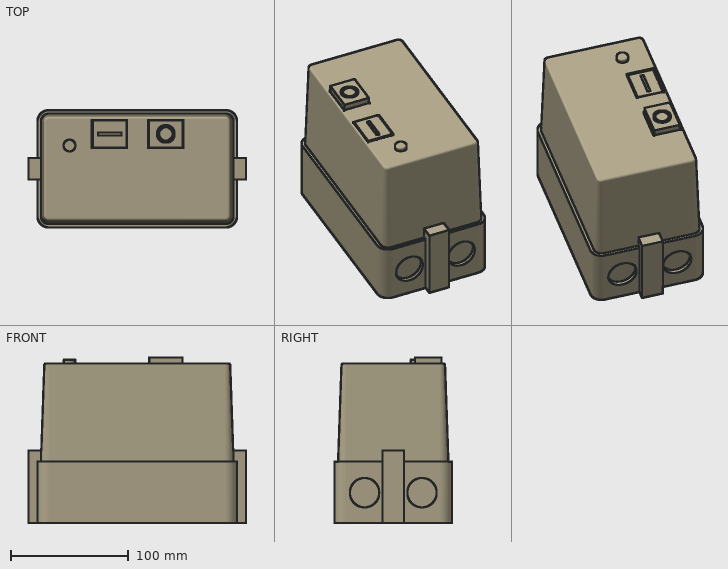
import cadquery as cq
import math

BASE_LENGTH = 170.0
BASE_WIDTH = 100.0
BASE_HEIGHT = 52.5
CORNER_RADIUS = 10.0

COVER_STEP = 3.0
COVER_TOP = 136.0
COVER_DRAFT = 2.0
COVER_EDGE_RADIUS = 2.0

OVERALL_LENGTH = 185.0
CLIP_WIDTH = 18.5
CLIP_HEIGHT = 62.0

KNOCKOUT_DIAMETER = 25.0
KNOCKOUT_SPACING = 48.8
KNOCKOUT_HEIGHT = 26.0
KNOCKOUT_DEPTH = 4.0

WINDOW_LENGTH = 30.0
WINDOW_WIDTH = 24.0
WINDOW_DEPTH = 2.0
WINDOW_Y = 29.7
STOP_WINDOW_X = 24.3
START_WINDOW_X = -23.8
BUTTON_LENGTH = 28.6
BUTTON_WIDTH = 22.8
START_BUTTON_SHIFT = 0.5
STOP_BUTTON_TOP = 141.0

SYMBOL_DEPTH = 0.2
BAR_LENGTH = 20.0
BAR_WIDTH = 2.5
RING_OUTER_DIAMETER = 15.0
RING_INNER_DIAMETER = 11.5

LAMP_X = -57.6
LAMP_Y = 19.8
LAMP_DIAMETER = 10.0
LAMP_HEIGHT = 3.2
LAMP_EDGE_RADIUS = 1.0


def box_on(z, length, width, height, x=0.0, y=0.0):
    """Box centred on (x, y) with its bottom at height z."""
    return cq.Workplane("XY", origin=(x, y, z)).rect(length, width).extrude(height)


def make_base():
    base = box_on(0, BASE_LENGTH, BASE_WIDTH, BASE_HEIGHT)
    return base.edges("|Z").fillet(CORNER_RADIUS)


def make_cover():
    """Cover with drafted walls, conical corners and a rounded top edge."""
    outline = cq.Sketch().rect(BASE_LENGTH - 2 * COVER_STEP, BASE_WIDTH - 2 * COVER_STEP)
    outline = outline.vertices().fillet(CORNER_RADIUS - COVER_STEP)
    cover = (
        cq.Workplane("XY", origin=(0, 0, BASE_HEIGHT))
        .placeSketch(outline)
        .extrude(COVER_TOP - BASE_HEIGHT, taper=COVER_DRAFT)
    )
    return cover.faces(">Z").edges().fillet(COVER_EDGE_RADIUS)


def make_clip(side):
    """Clip on one end, reaching inward to the drafted cover wall."""
    wall_lean = (CLIP_HEIGHT - BASE_HEIGHT) * math.tan(math.radians(COVER_DRAFT))
    inner_x = BASE_LENGTH / 2 - COVER_STEP - wall_lean
    outer_x = OVERALL_LENGTH / 2
    middle_x = side * (inner_x + outer_x) / 2
    return box_on(0, outer_x - inner_x, CLIP_WIDTH, CLIP_HEIGHT, x=middle_x)


def make_knockouts(side):
    """Two shallow round recesses in one end wall, as cutters."""
    start_x = side * (BASE_LENGTH / 2 - KNOCKOUT_DEPTH)
    return (
        cq.Workplane("YZ", origin=(start_x, 0, KNOCKOUT_HEIGHT))
        .rarray(KNOCKOUT_SPACING, 1, 2, 1)
        .circle(KNOCKOUT_DIAMETER / 2)
        .extrude(side * KNOCKOUT_DEPTH)
    )


def make_window(x):
    return box_on(COVER_TOP - WINDOW_DEPTH, WINDOW_LENGTH, WINDOW_WIDTH, WINDOW_DEPTH, x, WINDOW_Y)


def make_button(x, top):
    """Button standing on the window floor and ending at height top."""
    floor = COVER_TOP - WINDOW_DEPTH
    return box_on(floor, BUTTON_LENGTH, BUTTON_WIDTH, top - floor, x, WINDOW_Y)


def make_start_button():
    """Button level with the cover, engraved with a bar."""
    x = START_WINDOW_X + START_BUTTON_SHIFT
    bar = box_on(COVER_TOP - SYMBOL_DEPTH, BAR_LENGTH, BAR_WIDTH, SYMBOL_DEPTH, x, WINDOW_Y)
    return make_button(x, COVER_TOP).cut(bar)


def make_stop_button():
    """Button standing proud of the cover, engraved with a ring."""
    ring = (
        cq.Workplane("XY", origin=(STOP_WINDOW_X, WINDOW_Y, STOP_BUTTON_TOP - SYMBOL_DEPTH))
        .circle(RING_OUTER_DIAMETER / 2)
        .circle(RING_INNER_DIAMETER / 2)
        .extrude(SYMBOL_DEPTH)
    )
    return make_button(STOP_WINDOW_X, STOP_BUTTON_TOP).cut(ring)


def make_lamp():
    lamp = (
        cq.Workplane("XY", origin=(LAMP_X, LAMP_Y, COVER_TOP))
        .circle(LAMP_DIAMETER / 2)
        .extrude(LAMP_HEIGHT)
    )
    return lamp.faces(">Z").edges().fillet(LAMP_EDGE_RADIUS)


body = make_base().union(make_cover())
for end in (-1, 1):
    body = body.union(make_clip(end))
    body = body.cut(make_knockouts(end))

for window_x in (START_WINDOW_X, STOP_WINDOW_X):
    body = body.cut(make_window(window_x))

result = body.union(make_start_button()).union(make_stop_button()).union(make_lamp())